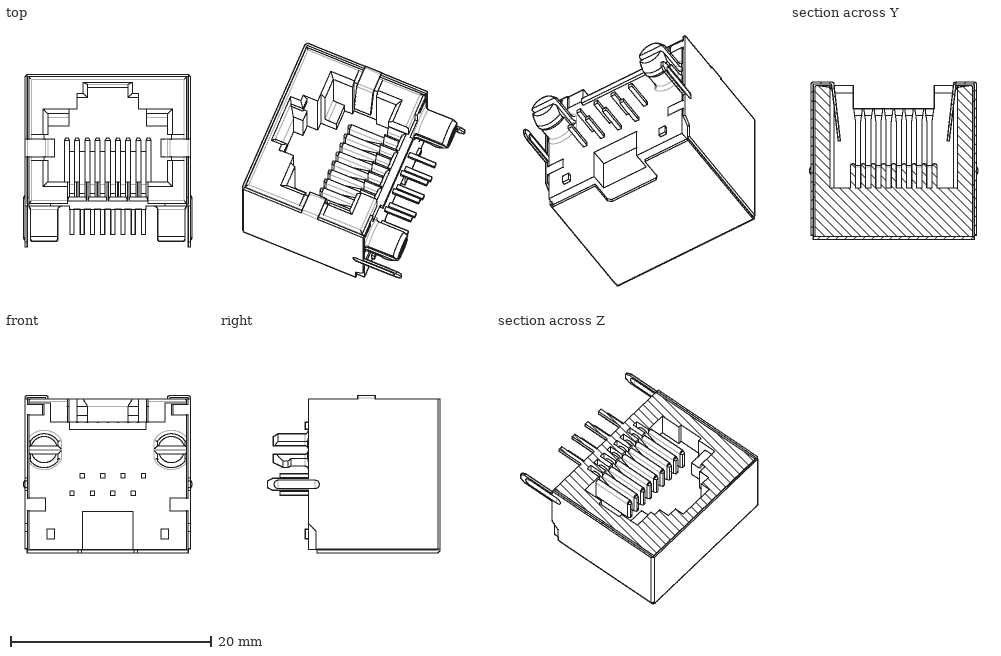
import cadquery as cq

sheet = 0.25
shield_half_width = 8.26
shield_inner_half = shield_half_width - sheet
shield_back = 13.16
top_z = 15.4
wall_bottom = 0.43
bend_chamfer = 0.25
plate_half_width = 8.04
plate_thickness = 0.33
plate_front = 0.86
plate_notch_depth = 2.59
plate_notch_back_half = 2.62
plate_notch_front_half = 2.95
corner_cut_depth = 0.8
corner_cut_top = 2.97

board_pin_z = 6.87
board_pin_width = 1.22
board_pin_tip = -4.09
pin_taper_length = 0.53
pin_tip_width = 0.65
bead_height = 0.15
bead_width = 0.83
bead_back = 1.1
bead_front = -3.42

spring_y0 = 4.93
spring_y1 = 6.7
spring_top = 15.75
spring_bend_x = 5.99
spring_foot_x = 5.31
spring_foot_z = 9.83
spring_bend_radius = 0.26

clip_heights = [(13.8, 14.85), (4.21, 5.49)]
clip_ends = [6.5, 6.2]
clip_seat_ends = [6.35, 6.2]

body_half_width = 7.88
body_back = shield_back - sheet
body_bottom = 0.35
rim_radius = 0.28
front_step = 0.28
front_step_z = 14.97
window_floor_z = 13.08
window_half_width = 4.04
window_recess_half = 5.7
standoff_height = 0.31

floor_z = 5.18
lead_in = 0.47
lead_in_depth = 0.8
mouth_half_width = 5.99
mouth_front = 2.43
mouth_back = 9.23
mid_half_width = 3.88
mid_back = mouth_back + lead_in
ledge_front = 8.0
ledge_z = 7.05
ledge_radius = 0.36

latch_half_width = 3.09
latch_back = 12.15
latch_foot_back = 11.85
latch_foot_z = 10.0
catch_half_gap = 2.0
catch_front = 10.83
catch_bottom = 13.73
catch_pocket_bottom = 10.38
catch_bevel = 0.43
latch_bevel = 0.22

spring_slot_y0 = 4.57
spring_slot_y1 = 7.15
spring_slot_x = 6.35
spring_relief_x = 7.6
spring_relief_depth = 0.19

contact_count = 8
contact_pitch = 1.02
rib_width = 0.52
rib_top = 7.59
rib_back = 6.8
rib_tip = 0.26
fin_top_width = 0.14
fin_taper_z = 11.73
comb_wall = 0.91
comb_lip = 0.5
comb_bevel_height = 0.69
contact_foot_y = 5.45
contact_bend_y = 2.17
contact_bend_z = 7.25
contact_front_y = 1.26
contact_bulge = 0.17
contact_drop = 0.6

tail_width = 0.43
tail_length = 2.85
tail_upper_z = 7.73
tail_lower_z = 5.99

bar_half_width = 3.83
bar_bottom = 12.35
pad_x0 = 5.33
pad_x1 = 6.07
pad_z0 = 1.43
pad_z1 = 2.4
pocket_half_width = 2.52
pocket_depth = 1.76
pocket_top = 4.14

peg_x = 6.35
peg_z = 10.3
peg_radius = 1.62
peg_half_width = 1.38
peg_length = 3.5
peg_end_radius = 1.35
peg_end_chamfer = 0.48
peg_root_radius = 0.35
peg_slot = 0.83
barb_radius = 1.76
barb_start = 1.75
barb_rise = 0.26
barb_crest = 0.5
barb_end_radius = 1.28


def box(x0, x1, y0, y1, z0, z1):
    return cq.Workplane("XY").box(x1 - x0, y1 - y0, z1 - z0, centered=False).translate((x0, y0, z0))


def prism_x(points, x0, x1):
    """Extrude a (y, z) polygon from x0 to x1."""
    return cq.Workplane("YZ", origin=(x0, 0, 0)).polyline(points).close().extrude(x1 - x0)


def prism_y(points, y0, y1):
    """Extrude an (x, z) polygon from y0 to y1."""
    return cq.Workplane("XZ", origin=(0, y0, 0)).polyline(points).close().extrude(y0 - y1)


def prism_z(points, z0, z1):
    """Extrude an (x, y) polygon from z0 to z1."""
    return cq.Workplane("XY", origin=(0, 0, z0)).polyline(points).close().extrude(z1 - z0)


def both_sides(shape):
    """The shape at +X together with its mirror image at -X."""
    return shape.union(shape.mirror("YZ"))


def shield_walls():
    outer = box(-shield_half_width, shield_half_width, 0, shield_back, wall_bottom, top_z)
    outer = outer.edges("|Z and >Y").chamfer(bend_chamfer)
    inner = box(-shield_inner_half, shield_inner_half, -0.17, shield_back - sheet, 0, top_z + 0.17)
    walls = outer.cut(inner)
    slope_foot_z = corner_cut_top - corner_cut_depth
    corner = [
        (0, 0),
        (corner_cut_depth, 0),
        (corner_cut_depth, slope_foot_z),
        (0, corner_cut_top),
    ]
    return walls.cut(prism_x(corner, -shield_half_width, shield_half_width))


def shield_plate():
    plate = box(-plate_half_width, plate_half_width, plate_front, shield_back, 0, plate_thickness)
    rear_lip = box(-plate_half_width, plate_half_width, shield_back - sheet, shield_back, 0, wall_bottom)
    plate = plate.union(rear_lip).edges("|X and >Y and <Z").chamfer(bend_chamfer)
    notch_back = plate_front + plate_notch_depth
    taper_start = notch_back - (plate_notch_front_half - plate_notch_back_half)
    notch_side = [
        (0, plate_front),
        (plate_notch_front_half, plate_front),
        (plate_notch_front_half, taper_start),
        (plate_notch_back_half, notch_back),
        (0, notch_back),
    ]
    return plate.cut(both_sides(prism_z(notch_side, 0, plate_thickness)))


def bead(outer_x):
    """Long round-ended bead whose crest reaches outer_x."""
    radius = (bead_width**2 / 4 + bead_height**2) / (2 * bead_height)
    y0 = bead_front + bead_width / 2
    y1 = bead_back - bead_width / 2
    center_x = outer_x - radius
    capsule = cq.Workplane("XZ", origin=(center_x, y0, board_pin_z)).circle(radius).extrude(y0 - y1)
    for y in (y0, y1):
        capsule = capsule.union(cq.Workplane("XY").sphere(radius).translate((center_x, y, board_pin_z)))
    flat_x = outer_x - bead_height - sheet / 4
    keep = box(flat_x, outer_x + 0.17, bead_front - 0.17, bead_back + 0.17, board_pin_z - radius, board_pin_z + radius)
    return capsule.intersect(keep)


def board_pin():
    half = board_pin_width / 2
    tip_half = pin_tip_width / 2
    shoulder = board_pin_tip + pin_taper_length
    outline = [
        (0.17, board_pin_z - half),
        (shoulder, board_pin_z - half),
        (board_pin_tip, board_pin_z - tip_half),
        (board_pin_tip, board_pin_z + tip_half),
        (shoulder, board_pin_z + half),
        (0.17, board_pin_z + half),
    ]
    return prism_x(outline, shield_inner_half, shield_half_width)


def spring_tab():
    profile = [
        (shield_half_width, top_z - sheet),
        (shield_half_width, spring_top),
        (spring_bend_x, spring_top),
        (spring_foot_x, spring_foot_z),
        (spring_foot_x + sheet, spring_foot_z),
        (spring_bend_x + sheet, spring_top - sheet),
        (shield_inner_half, spring_top - sheet),
        (shield_inner_half, top_z - sheet),
    ]
    tab = prism_y(profile, spring_y0, spring_y1)
    return tab.faces(">Z").edges("|Y").fillet(spring_bend_radius)


def clip_blocks(inner_ends):
    """Flat blocks of both front clips at +X and -X, reaching in to the given ends."""
    blocks = cq.Workplane("XY")
    for end_x, (z0, z1) in zip(inner_ends, clip_heights):
        blocks = blocks.add(box(end_x, shield_inner_half + sheet / 2, 0, sheet, z0, z1))
    return both_sides(blocks.combine())


def make_shield():
    shield = shield_walls().union(shield_plate())
    for feature in (board_pin(), spring_tab(), bead(shield_half_width + bead_height)):
        shield = shield.union(both_sides(feature))
    shield = shield.union(clip_blocks(clip_ends))
    return shield.cut(both_sides(bead(shield_inner_half + bead_height)))


def housing_block():
    block = box(-body_half_width, body_half_width, 0, body_back, body_bottom, top_z)
    block = block.cut(box(-body_half_width, body_half_width, 0, front_step, front_step_z, top_z))
    block = block.faces(">Z").edges().fillet(rim_radius)
    recess = box(-window_recess_half, window_recess_half, 0, front_step, window_floor_z, top_z)
    pocket = box(-pocket_half_width, pocket_half_width, 0, pocket_depth, body_bottom, pocket_top)
    return block.cut(recess).cut(pocket)


def main_mouth():
    """Room for the plug, with a lead-in slope around the rim and a ledge in each rear corner."""
    mouth = box(-mouth_half_width, mouth_half_width, mouth_front, mouth_back, floor_z, top_z)
    lead_in_low = top_z - lead_in_depth
    center_y = (mouth_front + mouth_back) / 2
    lead = (
        cq.Workplane("XY", origin=(0, center_y, lead_in_low))
        .rect(2 * mouth_half_width, mouth_back - mouth_front)
        .workplane(offset=lead_in_depth)
        .rect(2 * (mouth_half_width + lead_in), mouth_back - mouth_front + 2 * lead_in)
        .loft(ruled=True)
    )
    middle = box(-mid_half_width, mid_half_width, mouth_front, mid_back, floor_z, top_z)
    ledge = (
        cq.Workplane("YZ", origin=(mid_half_width, 0, 0))
        .moveTo(ledge_front, floor_z)
        .lineTo(ledge_front, ledge_z)
        .lineTo(mouth_back - ledge_radius, ledge_z)
        .radiusArc((mouth_back, ledge_z + ledge_radius), -ledge_radius)
        .lineTo(mouth_back, floor_z)
        .close()
        .extrude(mouth_half_width - mid_half_width)
    )
    return mouth.cut(both_sides(ledge)).union(lead).union(middle)


def latch_channel():
    """Stepped channel behind the mouth; its back wall leans back above a plumb foot."""
    bevel_low = top_z - lead_in_depth
    wide = box(-latch_half_width, latch_half_width, mouth_front, catch_front, floor_z, top_z)
    outline = [
        (mouth_front, floor_z),
        (latch_foot_back, floor_z),
        (latch_foot_back, latch_foot_z),
        (latch_back, bevel_low),
        (latch_back, top_z),
        (mouth_front, top_z),
    ]
    return wide.union(prism_x(outline, -catch_half_gap, catch_half_gap))


def latch_bevels():
    """Slopes around the rim of the channel and on the front of the two latch catches."""
    bevel_low = top_z - lead_in_depth
    low_depth = latch_back - mid_back
    top_depth = low_depth + latch_bevel
    low_half = catch_half_gap
    top_half = catch_half_gap + lead_in
    gap = (
        cq.Workplane("XY", origin=(0, mid_back, bevel_low))
        .polyline([(-low_half, 0), (low_half, 0), (low_half, low_depth), (-low_half, low_depth)])
        .close()
        .workplane(offset=lead_in_depth)
        .polyline([(-top_half, 0), (top_half, 0), (top_half, top_depth), (-top_half, top_depth)])
        .close()
        .loft(ruled=True)
    )
    front = [(catch_front, bevel_low), (catch_front + catch_bevel, top_z), (catch_front, top_z)]
    return gap.union(prism_x(front, -latch_half_width, latch_half_width))


def catch_pocket():
    """Opening under a latch catch, through the back wall."""
    return box(catch_half_gap, latch_half_width, catch_front, body_back, catch_pocket_bottom, catch_bottom)


def spring_slot():
    slope_z = top_z - spring_relief_depth
    profile = [
        (0, floor_z),
        (spring_slot_x, floor_z),
        (spring_slot_x, slope_z),
        (spring_relief_x, top_z),
        (0, top_z),
    ]
    return prism_y(profile, spring_slot_y0, spring_slot_y1)


def window():
    """Opening in the front wall, reaching down to the floor behind its bevelled sill."""
    outline = [
        (0, window_floor_z),
        (comb_lip, window_floor_z),
        (comb_wall, window_floor_z - comb_bevel_height),
        (comb_wall, floor_z),
        (mouth_front, floor_z),
        (mouth_front, top_z),
        (0, top_z),
    ]
    return prism_x(outline, -window_half_width, window_half_width)


def contact_rib(x, fin_front):
    """Round-topped guide rib on the floor, ending at the front in a tall tapered fin."""
    half = rib_width / 2
    rib_end = rib_back - rib_tip
    rib = (
        cq.Workplane("XZ", origin=(x, comb_wall, 0))
        .moveTo(-half, floor_z)
        .lineTo(-half, rib_top - half)
        .threePointArc((0, rib_top), (half, rib_top - half))
        .lineTo(half, floor_z)
        .close()
        .extrude(comb_wall - rib_end)
    )
    tip_half = half / 2
    tip = [(x - half, rib_end), (x - tip_half, rib_back), (x + tip_half, rib_back), (x + half, rib_end)]
    tip_solid = prism_z(tip, floor_z, rib_top - half)
    fin = [
        (x - half, floor_z),
        (x - half, fin_taper_z),
        (x - fin_top_width / 2, window_floor_z),
        (x + fin_top_width / 2, window_floor_z),
        (x + half, fin_taper_z),
        (x + half, floor_z),
    ]
    return rib.union(tip_solid).union(prism_y(fin, fin_front, mouth_front))


def contact_spring(x):
    """Contact that rises from the floor towards the front wall and bends over at its crest."""
    width = contact_pitch - rib_width
    crest_y = (contact_bend_y + contact_front_y) / 2
    crest_z = contact_bend_z + contact_bulge
    return (
        cq.Workplane("YZ", origin=(x - width / 2, 0, 0))
        .moveTo(contact_foot_y, floor_z)
        .lineTo(contact_bend_y, contact_bend_z)
        .threePointArc((crest_y, crest_z), (contact_front_y, contact_bend_z))
        .lineTo(comb_wall, contact_bend_z - contact_drop)
        .lineTo(comb_wall, floor_z)
        .close()
        .extrude(width)
    )


def contact_tail(x, z):
    half = tail_width / 2
    return box(x - half, x + half, -tail_length, 0, z - half, z + half)


def standoffs():
    bar = box(-bar_half_width, bar_half_width, -standoff_height, comb_lip, bar_bottom, window_floor_z)
    pad = box(pad_x0, pad_x1, -standoff_height, 0, pad_z0, pad_z1)
    return bar.union(both_sides(pad))


def peg_half(profile, z0, z1):
    """Half of a round peg turned from a (radius, distance from the front face) profile."""
    points = [(0, 0)] + [(radius, -distance) for radius, distance in profile] + [(0, -peg_length)]
    turned = cq.Workplane("XY").polyline(points).close().revolve(360, (0, 0, 0), (0, 1, 0))
    return turned.intersect(box(-peg_half_width, peg_half_width, -peg_length, 0, z0, z1))


def mounting_peg():
    """Flat-sided round peg with a flared root, split by a slot, with a barb on its lower half."""
    reach = 2 * peg_radius
    crest_start = barb_start + barb_rise
    crest_end = crest_start + barb_crest
    plain = [(peg_radius, 0), (peg_radius, peg_length - peg_end_chamfer), (peg_end_radius, peg_length)]
    barbed = [
        (peg_radius, 0),
        (peg_radius, barb_start),
        (barb_radius, crest_start),
        (barb_radius, crest_end),
        (barb_end_radius, peg_length),
    ]
    slot_half = peg_slot / 2
    halves = peg_half(plain, slot_half, reach).union(peg_half(barbed, -reach, -slot_half))

    base = box(-reach, reach, 0, sheet, -reach, reach)
    near = peg_radius + 0.17
    root = cq.selectors.BoxSelector((-near, -0.17, -near), (near, 0.17, near), boundingbox=True)
    peg = halves.union(base).edges(root).fillet(peg_root_radius).cut(base)
    peg = peg.translate((peg_x, 0, peg_z))
    return peg.intersect(box(0, body_half_width, -peg_length, 0, body_bottom, top_z))


def make_housing():
    housing = housing_block()
    openings = [
        main_mouth(),
        latch_channel(),
        latch_bevels(),
        both_sides(catch_pocket()),
        both_sides(spring_slot()),
        window(),
    ]
    for opening in openings:
        housing = housing.cut(opening)
    housing = housing.cut(clip_blocks(clip_seat_ends)).union(standoffs()).union(both_sides(mounting_peg()))
    for i in range(contact_count + 1):
        fin_front = comb_wall if i % 2 else comb_lip
        housing = housing.union(contact_rib((i - contact_count / 2) * contact_pitch, fin_front))
    for i in range(contact_count):
        x = (i - (contact_count - 1) / 2) * contact_pitch
        tail_z = tail_upper_z if i % 2 else tail_lower_z
        housing = housing.union(contact_spring(x)).union(contact_tail(x, tail_z))
    return housing


shield = make_shield()
housing = make_housing()
result = cq.Compound.makeCompound([shield.val(), housing.val()])